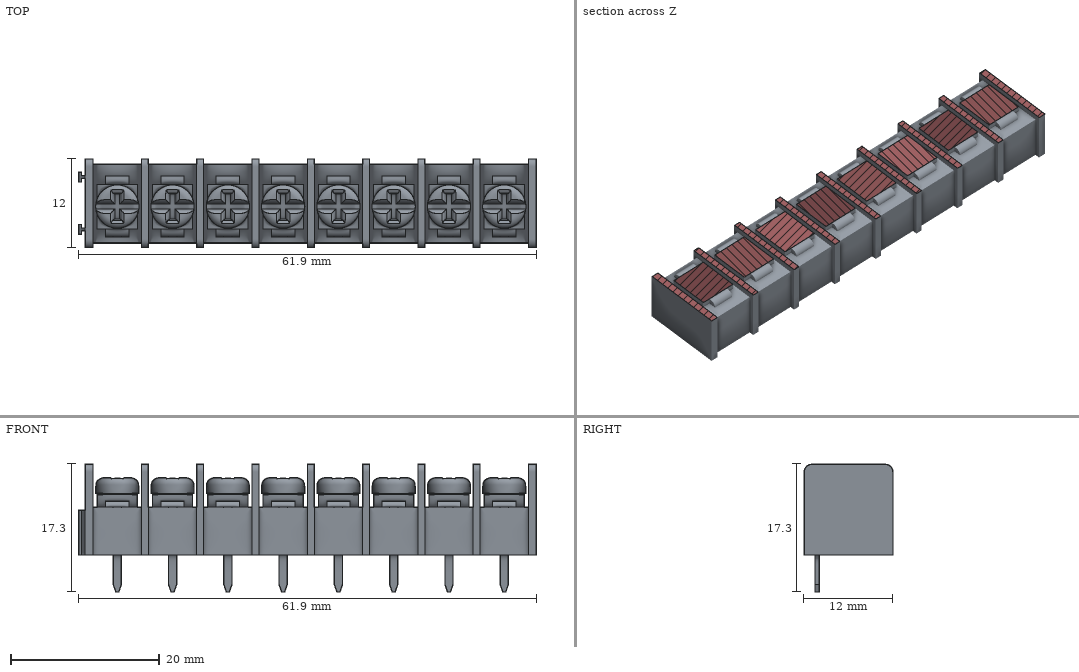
import cadquery as cq

pole_count = 8
pitch = 7.47

housing_length = 61.0
wall_thickness = 0.95
end_wall_thickness = 1.1
wall_depth = 12.01
wall_height = 12.3
wall_corner_radius = 1.05
ledge_height = 6.5
block_back_y = 5.3
block_front_y = -5.3
block_front_foot_y = -5.45

rib_spacing = 7.08
rib_height = 6.1
rib_reach = 0.87
rib_bar_thickness = 0.42
rib_bar_width = 1.35
rib_stem_width = 0.42

terminal_y = -0.45
plate_width = 5.45
plate_depth = 6.0
plate_top = 8.2
wing_width = 3.15
wing_reach = 1.1
wing_radius = 0.8

pin_width = 1.13
pin_thickness = 0.6
pin_length = 5.0
pin_tip_width = 0.4
pin_tip_length = 1.05

head_diameter = 5.84
head_height = 2.14
neck_diameter = 4.0
neck_height = 0.15
head_edge_radius = 0.98
recess_top_width = 1.85
recess_step_width = 1.3
recess_floor_width = 0.65
recess_bevel_depth = 0.35
recess_depth = 1.2
cross_top_length = 4.9
cross_step_length = 3.7
cross_floor_length = 3.35

head_bottom = plate_top + neck_height
head_top = head_bottom + head_height
pin_y = terminal_y - plate_depth / 2 - wing_reach + pin_thickness / 2
first_pole_x = (housing_length - (pole_count - 1) * pitch) / 2
pole_positions = [first_pole_x + i * pitch for i in range(pole_count)]


def box(width, depth, bottom, top, x=0.0, y=0.0):
    """Upright box centred on (x, y) between two heights."""
    return (
        cq.Workplane("XY", origin=(x, y, bottom))
        .rect(width, depth)
        .extrude(top - bottom)
    )


def make_wall(x, thickness):
    """Barrier wall centred on x, with rounded upper corners."""
    wall = box(thickness, wall_depth, 0, wall_height, x=x)
    return wall.edges("|X and >Z").fillet(wall_corner_radius)


def make_rib(y):
    """T-shaped rib standing out from the -X end wall."""
    stem = box(rib_reach, rib_stem_width, 0, rib_height, x=-rib_reach / 2, y=y)
    bar_x = rib_bar_thickness / 2 - rib_reach
    bar = box(rib_bar_thickness, rib_bar_width, 0, rib_height, x=bar_x, y=y)
    return stem.union(bar)


def make_pin(x):
    """Flat pin from the tapered tip up to the ledge."""
    return (
        cq.Workplane("XZ", origin=(x, pin_y + pin_thickness / 2, 0))
        .moveTo(-pin_width / 2, ledge_height)
        .lineTo(-pin_width / 2, pin_tip_length - pin_length)
        .lineTo(-pin_tip_width / 2, -pin_length)
        .lineTo(pin_tip_width / 2, -pin_length)
        .lineTo(pin_width / 2, pin_tip_length - pin_length)
        .lineTo(pin_width / 2, ledge_height)
        .close()
        .extrude(pin_thickness)
    )


def make_housing():
    """Moulded housing with a pin hole at every pole."""
    body = (
        cq.Workplane("YZ")
        .polyline([
            (block_front_foot_y, 0),
            (block_back_y, 0),
            (block_back_y, ledge_height),
            (block_front_y, ledge_height),
        ])
        .close()
        .extrude(housing_length)
    )
    for x in (end_wall_thickness / 2, housing_length - end_wall_thickness / 2):
        body = body.union(make_wall(x, end_wall_thickness))
    for x in pole_positions[1:]:
        body = body.union(make_wall(x - pitch / 2, wall_thickness))
    for side in (-1, 1):
        body = body.union(make_rib(side * rib_spacing / 2))
    for x in pole_positions:
        body = body.cut(make_pin(x))
    return body


def make_wings(x):
    """Half-round strip ends that bulge from the plate and curve down to the ledge."""
    axis_offset = plate_depth / 2 + wing_reach - wing_radius
    roll_centers = [(-axis_offset, 0), (axis_offset, 0)]
    rolls = (
        cq.Workplane("YZ", origin=(x - wing_width / 2, terminal_y, ledge_height))
        .pushPoints(roll_centers)
        .circle(wing_radius)
        .extrude(wing_width)
    )
    above_ledge = box(wing_width, 2 * plate_depth, ledge_height, plate_top, x=x, y=terminal_y)
    return rolls.intersect(above_ledge)


def make_recess_prism(plane, top, step, floor, length):
    """Prism whose flanks are bevelled down to the step, then steep down to the floor."""
    return (
        cq.Workplane(plane)
        .polyline([
            (-top / 2, 0),
            (-step / 2, -recess_bevel_depth),
            (-floor / 2, -recess_depth),
            (floor / 2, -recess_depth),
            (step / 2, -recess_bevel_depth),
            (top / 2, 0),
        ])
        .close()
        .extrude(length / 2, both=True)
    )


def make_screw_head(x):
    """Rounded head with a full slot along X and a shorter cross arm along Y."""
    head = (
        cq.Workplane("XY", origin=(x, terminal_y, head_bottom))
        .circle(head_diameter / 2)
        .extrude(head_height)
        .faces(">Z")
        .edges()
        .fillet(head_edge_radius)
    )
    neck = (
        cq.Workplane("XY", origin=(x, terminal_y, plate_top))
        .circle(neck_diameter / 2)
        .extrude(neck_height)
    )
    groove_widths = (recess_top_width, recess_step_width, recess_floor_width)
    arm_lengths = (cross_top_length, cross_step_length, cross_floor_length)
    slot = make_recess_prism("YZ", *groove_widths, 2 * head_diameter)
    cross_arm = make_recess_prism("XZ", *groove_widths, head_diameter)
    arm_limits = make_recess_prism("YZ", *arm_lengths, head_diameter)
    cross_arm = cross_arm.intersect(arm_limits)
    recess_place = (x, terminal_y, head_top)
    head = head.union(neck)
    return head.cut(slot.translate(recess_place)).cut(cross_arm.translate(recess_place))


def make_terminal(x):
    """One metal contact: clamp plate, wings, solder pin and screw head."""
    plate = box(plate_width, plate_depth, ledge_height, plate_top, x=x, y=terminal_y)
    return plate.union(make_wings(x)).union(make_pin(x)).union(make_screw_head(x))


housing = make_housing()
terminals = [make_terminal(x) for x in pole_positions]

result = cq.Compound.makeCompound([housing.val(), *[terminal.val() for terminal in terminals]])